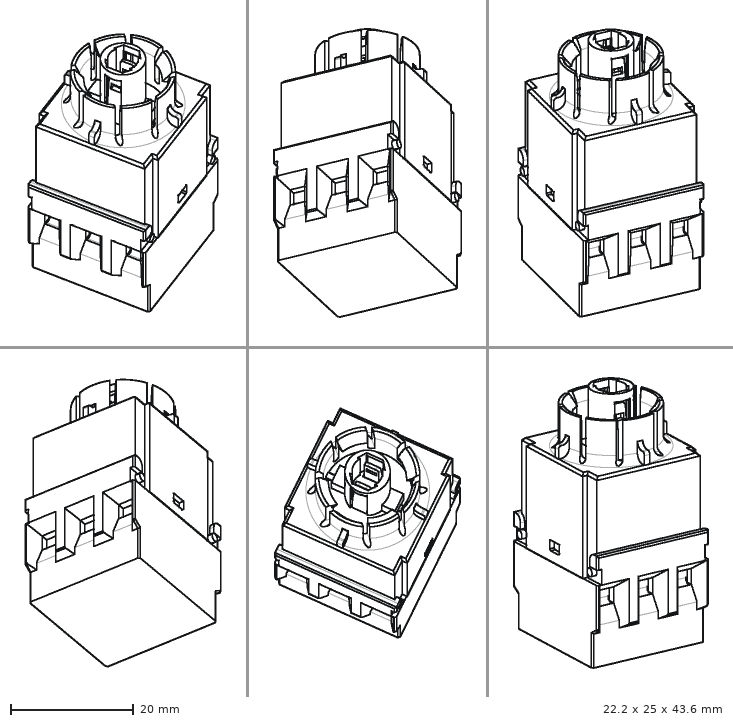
import cadquery as cq
import math

QUARTERS = [0, 90, 180, 270]
DIAGONALS = [45, 135, 225, 315]

total_height = 43.65

body_width = 22.2
body_bottom = 14.9
body_top = 33.25
body_chamfer = 0.5
corner_x = 10.15
corner_y = 8.3

base_half_x = 11.0
base_half_y = 11.05
skirt_half_y = 25.0 / 2
base_edge_chamfer = 0.3
shoulder_bottom = 6.0
shoulder_top = 6.8
shoulder_bevel = 0.25
overhang_bottom = 17.6
skirt_top = 20.05
overhang_inner_y = 10.25
overhang_radius = 2.5 / 2

pin_diameter = 1.5
pin_y = 10.35
pin_z = 16.65
window_width = 2.8
window_bottom = 16.75
window_top = 18.65
window_depth = 0.87
window_corner = 0.25

entry_pitch = 7.65
entry_mouth_half = 2.92
entry_back_half = 1.35
entry_back_y = 10.25
entry_floor_front = 7.38
entry_floor_back = 10.2
entry_roof_back = 13.05
clamp_depth = 1.3
clamp_half = 1.15
clamp_radius = 0.9

ring_radius = 8.6
ring_bore_radius = 14.7 / 2
ring_rim_radius = 8.0
ring_hook_radius = 6.4
ring_top = 40.8
ring_lead_in_bottom = 38.85
ring_floor = 31.78
hook_half_angle = 19.7
flare_radius = 1.53
slot_width = 1.0
slot_offset = 3.05
slot_inner = 6.35
slot_floor = 33.3

fin_width = 1.05
fin_reach = 10.65
fin_ledge = 35.55
fin_root = 8.65
fin_curve_radius = 2.5 / 2
fin_corner = 0.52

plunger_radius = 7.4 / 2
plunger_bore_radius = 2.55
recess_end_x = 1.5
recess_end_y = 2.9
recess_step_x = 2.5
recess_step_y = 1.5
plunger_floor = 34.9
plunger_window_width = 3.05
plunger_window_top = 42.2
clip_width = 2.7
clip_inner_y = 1.53
clip_outer_top_y = 2.15
clip_outer_bottom_y = 3.2
clip_top = 41.35
clip_corner = 0.65
clip_hole_width = 1.85
clip_hole_bottom = 38.4
clip_hole_top = 39.5
cross_half_length = 5.75
cross_width = 3.27
cross_top = 34.8
cross_rib_top = 32.2


def block(x0, x1, y0, y1, z0, z1):
    """Axis-aligned block between two opposite corners."""
    return cq.Workplane("XY").box(x1 - x0, y1 - y0, z1 - z0, centered=False).translate((x0, y0, z0))


def both_ends(shape):
    """A feature together with its copy half a turn around Z."""
    return shape.union(shape.rotate((0, 0, 0), (0, 0, 1), 180))


def around(shape, angles):
    """One feature copied to several angles around Z."""
    copies = shape.rotate((0, 0, 0), (0, 0, 1), angles[0])
    for angle in angles[1:]:
        copies = copies.union(shape.rotate((0, 0, 0), (0, 0, 1), angle))
    return copies


def make_body():
    half = body_width / 2
    wide = block(-half, half, -corner_y, corner_y, body_bottom, body_top)
    narrow = block(-corner_x, corner_x, -half, half, body_bottom, body_top)
    return wide.union(narrow).faces(">Z").chamfer(body_chamfer)


def make_base():
    outline = [
        (-base_half_y, 0),
        (base_half_y, 0),
        (base_half_y, shoulder_bottom),
        (skirt_half_y - shoulder_bevel / 2, shoulder_top),
        (skirt_half_y, shoulder_top + shoulder_bevel),
        (skirt_half_y, body_bottom),
        (-skirt_half_y, body_bottom),
        (-skirt_half_y, shoulder_top + shoulder_bevel),
        (-skirt_half_y + shoulder_bevel / 2, shoulder_top),
        (-base_half_y, shoulder_bottom),
    ]
    base = cq.Workplane("YZ").polyline(outline).close().extrude(base_half_x, both=True)
    side_edges = base.faces("<X or >X").edges("not #Z")
    return side_edges.chamfer(base_edge_chamfer)


def make_skirt():
    """Strip along the -Y face whose upper part overhangs at both ends."""
    neck = block(-corner_x, corner_x, -skirt_half_y, -corner_y, body_bottom, skirt_top - base_edge_chamfer)
    strip = block(-base_half_x, base_half_x, -skirt_half_y, -overhang_inner_y, overhang_bottom, skirt_top)
    strip = strip.edges("|X and >Y and >Z").fillet(overhang_radius)
    strip = strip.edges("<Y and (|Z or >Z)").chamfer(base_edge_chamfer)
    return strip.union(neck)


def make_pins():
    pins = None
    for y in (-pin_y, pin_y):
        pin = cq.Workplane("YZ").center(y, pin_z).circle(pin_diameter / 2).extrude(body_width / 2, both=True)
        pins = pin if pins is None else pins.union(pin)
    return pins


def make_side_window():
    half = body_width / 2
    window = block(-half, window_depth - half, -window_width / 2, window_width / 2, window_bottom, window_top)
    return window.edges("|X and <Z").chamfer(window_corner)


def make_wire_entry():
    """Funnel in the -Y face, with a small clamp chamber behind it."""
    plan = (
        cq.Workplane("XY")
        .polyline([
            (-entry_mouth_half, -skirt_half_y),
            (entry_mouth_half, -skirt_half_y),
            (entry_back_half, -entry_back_y),
            (-entry_back_half, -entry_back_y),
        ])
        .close()
        .extrude(total_height)
    )
    side = (
        cq.Workplane("YZ")
        .polyline([
            (-skirt_half_y, 0),
            (-base_half_y, 0),
            (-base_half_y, entry_floor_front),
            (-entry_back_y, entry_floor_back),
            (-entry_back_y, entry_roof_back),
            (-skirt_half_y, body_bottom),
        ])
        .close()
        .extrude(entry_mouth_half, both=True)
    )
    half = entry_back_half
    chamber_end = clamp_depth - entry_back_y
    chamber = block(-half, half, -entry_back_y, chamber_end, entry_floor_back, entry_roof_back)
    clamp_mid = clamp_radius * (1 - math.sqrt(0.5))
    clamp = (
        cq.Workplane("YZ")
        .moveTo(chamber_end, entry_floor_back)
        .lineTo(chamber_end - clamp_radius, entry_floor_back)
        .threePointArc(
            (chamber_end - clamp_mid, entry_floor_back + clamp_mid),
            (chamber_end, entry_floor_back + clamp_radius),
        )
        .close()
        .extrude(clamp_half, both=True)
    )
    return plan.intersect(side).union(chamber.cut(clamp))


def make_ring():
    """Ring with a flared foot, a tapered mouth and hooks on its diagonal segments."""
    diagonal = flare_radius * (1 - math.sqrt(0.5))
    foot = ring_radius + flare_radius
    wall = (
        cq.Workplane("XZ")
        .moveTo(ring_bore_radius, ring_floor)
        .lineTo(foot, ring_floor)
        .lineTo(foot, body_top)
        .threePointArc((ring_radius + diagonal, body_top + diagonal), (ring_radius, body_top + flare_radius))
        .lineTo(ring_radius, ring_top)
        .lineTo(ring_rim_radius, ring_top)
        .lineTo(ring_bore_radius, ring_lead_in_bottom)
        .close()
        .revolve(360, (0, 0), (0, 1))
    )
    hook = (
        cq.Workplane("XZ")
        .polyline([
            (ring_rim_radius, ring_top),
            (ring_hook_radius, ring_lead_in_bottom),
            (ring_rim_radius, ring_lead_in_bottom),
        ])
        .close()
        .revolve(2 * hook_half_angle, (0, 0), (0, 1))
        .rotate((0, 0, 0), (0, 0, 1), -hook_half_angle)
    )
    hooks = around(hook, DIAGONALS)
    return wall.union(hooks).cut(around(make_slot_pair(), DIAGONALS))


def make_ring_bore():
    bore = cq.Workplane("XY", origin=(0, 0, ring_floor)).circle(ring_bore_radius)
    return bore.extrude(body_top - ring_floor)


def make_slot_pair():
    """Two round-bottomed slots parallel to +X that run down onto the flared foot."""
    half = slot_width / 2
    foot = ring_radius + flare_radius
    axis_height = slot_floor + half
    upper = block(slot_inner, foot, -half, half, axis_height, ring_top)
    groove = cq.Workplane("YZ", origin=(slot_inner, 0, axis_height)).circle(half).extrude(foot - slot_inner)
    slot = upper.union(groove)
    return slot.translate((0, slot_offset, 0)).union(slot.translate((0, -slot_offset, 0)))


def make_fin():
    """Upright fin on the +X side; a hollow curve joins its ledge to the ring."""
    curve = fin_curve_radius
    diagonal = curve * (1 - math.sqrt(0.5))
    fin = (
        cq.Workplane("XZ")
        .moveTo(ring_bore_radius, ring_floor)
        .lineTo(fin_reach, ring_floor)
        .lineTo(fin_reach, fin_ledge)
        .lineTo(fin_root + curve, fin_ledge)
        .threePointArc((fin_root + diagonal, fin_ledge + diagonal), (fin_root, fin_ledge + curve))
        .lineTo(ring_bore_radius, fin_ledge + curve)
        .close()
        .extrude(fin_width / 2, both=True)
    )
    return fin.faces(">X").edges(">Z").fillet(fin_corner)


def make_clip():
    """Leaning spring tongue behind the -Y plunger window, pierced near its tip."""
    clip = (
        cq.Workplane("YZ")
        .polyline([
            (-clip_outer_bottom_y, ring_floor),
            (-clip_inner_y, ring_floor),
            (-clip_inner_y, clip_top),
            (-clip_outer_top_y, clip_top),
        ])
        .close()
        .extrude(clip_width / 2, both=True)
    )
    clip = clip.faces(">Z").edges("|Y").fillet(clip_corner)
    half = clip_hole_width / 2
    hole = block(-half, half, -clip_outer_bottom_y, -clip_inner_y, clip_hole_bottom, clip_hole_top)
    return clip.cut(hole)


def make_plunger():
    bore_height = total_height - plunger_floor
    base = cq.Workplane("XY", origin=(0, 0, ring_floor))
    plunger = base.circle(plunger_radius).extrude(total_height - ring_floor)
    bore_start = cq.Workplane("XY", origin=(0, 0, plunger_floor))
    bore = bore_start.circle(plunger_bore_radius).extrude(bore_height)
    recess = (
        bore_start
        .polyline([
            (-recess_step_x, -recess_step_y),
            (-recess_end_x, -recess_end_y),
            (recess_end_x, -recess_end_y),
            (recess_step_x, -recess_step_y),
        ])
        .close()
        .extrude(bore_height)
    )
    half = plunger_window_width / 2
    window = block(-half, half, -plunger_radius, -recess_step_y, ring_floor, plunger_window_top)
    openings = both_ends(recess.union(window))
    return plunger.cut(bore).cut(openings).union(both_ends(make_clip()))


def make_cross():
    """Bar through the plunger foot, with a low thin rib out to the ring at each end."""
    half = cross_width / 2
    rib_half = fin_width / 2
    bar = block(-cross_half_length, cross_half_length, -half, half, ring_floor, cross_top)
    rib = block(-ring_bore_radius, ring_bore_radius, -rib_half, rib_half, ring_floor, cross_rib_top)
    return bar.union(rib)


housing = make_body().union(make_base()).union(both_ends(make_skirt())).union(make_pins())
housing = housing.cut(both_ends(make_side_window()))
for column in (-1, 0, 1):
    entry = make_wire_entry().translate((column * entry_pitch, 0, 0))
    housing = housing.cut(both_ends(entry))
housing = housing.cut(make_ring_bore())
result = housing.union(make_ring()).union(around(make_fin(), QUARTERS))
result = result.union(make_cross()).union(make_plunger())